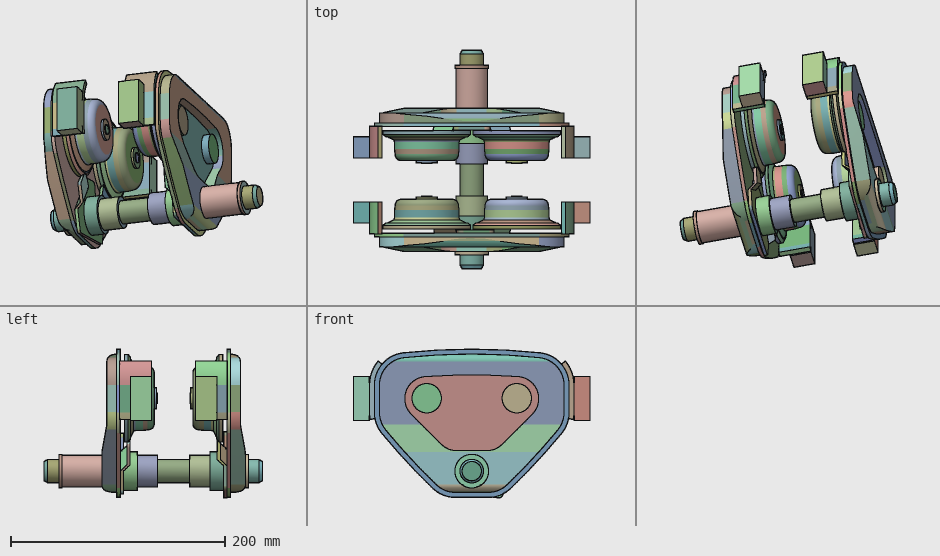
import cadquery as cq
import math


PLATE_INNER_Y = 49.75
PLATE_OUTER_Y = 53.2
PLATE_HALF_WIDTH = 90.8
PLATE_TOP = 113.85
PLATE_BOTTOM = -24.6
SLANT_TOP_Z = 43.7
SLANT_BOTTOM_X = 27.3
SLANT_LEAN = 45.0
BOW_RADIUS = 600.0
PLATE_CORNER_RADIUS = 30.4
RIM_WIDTH = 4.7

BODY_UPPER_Y = 62.4
BODY_LOWER_Y = 67.0
SLOPE_TOP_Z = 43.2
SLOPE_BOTTOM_Z = 17.8
TOP_ROUND_Z = 102.2
BOTTOM_ROUND_Z = -12.6
BODY_ROUND_RADIUS = 6.5
BODY_ROUND_SWEEP = 78.0

POCKET_HALF_WIDTH = 62.4
POCKET_TOP = 89.75
POCKET_BOTTOM = 19.1
POCKET_SLANT_TOP_Z = 59.0
POCKET_SLANT_BOTTOM_X = 22.5
POCKET_CORNER_RADIUS = 20.4
AXLE_X = 42.0
AXLE_Z = 68.0
AXLE_RADIUS = 13.7
AXLE_END_Y = 60.2

FLANGE_RADIUS = 41.0
FLANGE_BACK_Y = 45.9
FLANGE_FRONT_Y = 42.4
CONE_BREAK_RADIUS = 38.0
CONE_STEP_RADIUS = 36.6
CONE_BREAK_Y = 40.0
CONE_FOOT_RADIUS = 30.8
CONE_FOOT_Y = 37.2
TREAD_RADIUS = 30.2
TREAD_START_Y = 35.2
TREAD_TAPER_Y = 28.5
TREAD_END_RADIUS = 29.6
TREAD_END_Y = 23.9
WHEEL_FACE_Y = 17.9
WHEEL_HUB_RADIUS = 9.9
WHEEL_HUB_Y = 15.9
WHEEL_AXLE_TIP_RADIUS = 4.8
WHEEL_AXLE_TIP_Y = 15.1

STRAP_INNER_Y = 20.4
STRAP_PLATE_OVERLAP = 0.5
STRAP_TOP_ANGLE = 40.0
STRAP_BOTTOM_ANGLE = 10.6
BLOCK_OUTER_X = 110.5
BLOCK_LENGTH_Y = 20.0
BLOCK_BOTTOM = 47.1
BLOCK_TOP = 88.4

PIN_RADIUS = 11.0
PIN_NEAR_Y = -83.0
PIN_FAR_Y = 121.0
PIN_CHAMFER_LENGTH = 3.5
PIN_CHAMFER_DEPTH = 2.0
SLEEVE_RADIUS = 14.9
SLEEVE_INNER_Y = 15.0
COLLAR_RADIUS = 18.1
COLLAR_INNER_Y = 33.75
WASHER_RADIUS = 15.7
WASHER_THICKNESS = 3.0
FAR_WASHER_Y = 104.0

SHEET = 3.1
WING_STEP = 6.15
WING_RUN = 5.2
BEND_LOW = (35.4, 0.0)
BEND_HIGH = (16.8, 18.6)
WING_TIP = (40.9, 23.5)
WING_INNER_TIP = (26.0, 38.0)
TOWER_TOP = 35.5
TOWER_CORNER_RADIUS = 4.5
BRACKET_FOOT_HALF_WIDTH = 31.0
BRACKET_BOTTOM = -21.4
BRACKET_CORNER_RADIUS = 3.6
NEAR_BRACKET_TILT = 7.8


def xz_plane(y):
    """Sketch plane at y with local axes X and Z; a negative extrusion depth runs toward +Y."""
    return cq.Workplane("XZ", origin=(0, y, 0))


def prism(sketch_wire, y_start, y_end):
    """Extrude a sketch lying on xz_plane(y_start) to y_end."""
    return sketch_wire.extrude(y_start - y_end)


def cylinder(x, z, radius, y_start, y_end):
    return prism(xz_plane(y_start).center(x, z).circle(radius), y_start, y_end)


def bow_center(start, end):
    """Center of the arc of BOW_RADIUS that bulges to the right of the direction start to end."""
    dx = end[0] - start[0]
    dz = end[1] - start[1]
    chord = math.hypot(dx, dz)
    depth = math.sqrt(BOW_RADIUS**2 - (chord / 2) ** 2)
    return (
        (start[0] + end[0]) / 2 - depth * dz / chord,
        (start[1] + end[1]) / 2 + depth * dx / chord,
    )


def bowed_midpoint(start, end):
    """Middle of the arc of BOW_RADIUS from start to end."""
    center = bow_center(start, end)
    mid_x = (start[0] + end[0]) / 2
    mid_z = (start[1] + end[1]) / 2
    reach = BOW_RADIUS / math.hypot(mid_x - center[0], mid_z - center[1])
    return (center[0] + reach * (mid_x - center[0]), center[1] + reach * (mid_z - center[1]))


def bow_drop(half_width):
    """Fall of the bowed top edge from its middle to half_width."""
    return BOW_RADIUS - math.sqrt(BOW_RADIUS**2 - half_width**2)


def trapezoid_prism(half_width, top, bottom, slant_z, slant_x, radius, slant_bowed, y_start, y_end):
    """Trapezoid with a bowed top, straight sides and two slanted lower sides, all corners rounded alike."""
    shoulder_z = top - bow_drop(half_width)
    left_slant = ((-half_width, slant_z), (-slant_x, bottom))
    right_slant = ((slant_x, bottom), (half_width, slant_z))
    outline = xz_plane(y_start).moveTo(half_width, shoulder_z)
    outline = outline.threePointArc((0, top), (-half_width, shoulder_z)).lineTo(*left_slant[0])
    if slant_bowed:
        outline = outline.threePointArc(bowed_midpoint(*left_slant), left_slant[1])
        outline = outline.lineTo(*right_slant[0])
        outline = outline.threePointArc(bowed_midpoint(*right_slant), right_slant[1])
    else:
        outline = outline.lineTo(*left_slant[1]).lineTo(*right_slant[0]).lineTo(*right_slant[1])
    return prism(outline.close(), y_start, y_end).edges("|Y").fillet(radius)


def plate_prism(inset, y_start, y_end):
    """Side plate outline moved inward by inset."""
    corner_shift = inset * math.tan(math.radians(SLANT_LEAN / 2))
    return trapezoid_prism(
        PLATE_HALF_WIDTH - inset,
        PLATE_TOP - inset,
        PLATE_BOTTOM + inset,
        SLANT_TOP_Z + corner_shift,
        SLANT_BOTTOM_X - corner_shift,
        PLATE_CORNER_RADIUS - inset,
        True,
        y_start,
        y_end,
    )


def cover_profile():
    """Long bar along X with the stepped and rounded side profile of the cover."""
    r = BODY_ROUND_RADIUS
    end = math.radians(BODY_ROUND_SWEEP)
    half = end / 2

    def round_point(face_y, z, side, angle):
        return (face_y - r * (1 - math.cos(angle)), z + side * r * math.sin(angle))

    def tangent_end(face_y, z, side):
        """Point at the plate's inner face on the line that continues the round."""
        y, z_end = round_point(face_y, z, side, end)
        return (PLATE_INNER_Y, z_end + side * (y - PLATE_INNER_Y) / math.tan(end))

    return (
        cq.Workplane("YZ", origin=(-PLATE_HALF_WIDTH, 0, 0))
        .moveTo(*tangent_end(BODY_LOWER_Y, BOTTOM_ROUND_Z, -1))
        .lineTo(*round_point(BODY_LOWER_Y, BOTTOM_ROUND_Z, -1, end))
        .threePointArc(
            round_point(BODY_LOWER_Y, BOTTOM_ROUND_Z, -1, half),
            (BODY_LOWER_Y, BOTTOM_ROUND_Z),
        )
        .lineTo(BODY_LOWER_Y, SLOPE_BOTTOM_Z)
        .lineTo(BODY_UPPER_Y, SLOPE_TOP_Z)
        .lineTo(BODY_UPPER_Y, TOP_ROUND_Z)
        .threePointArc(
            round_point(BODY_UPPER_Y, TOP_ROUND_Z, 1, half),
            round_point(BODY_UPPER_Y, TOP_ROUND_Z, 1, end),
        )
        .lineTo(*tangent_end(BODY_UPPER_Y, TOP_ROUND_Z, 1))
        .close()
        .extrude(2 * PLATE_HALF_WIDTH)
    )


def side_plate():
    """Plate with its cover, the cover's pocket and the two axle ends in the pocket."""
    plate = plate_prism(0, PLATE_INNER_Y, PLATE_OUTER_Y)
    cover = plate_prism(RIM_WIDTH, PLATE_INNER_Y, BODY_LOWER_Y).intersect(cover_profile())
    pocket = trapezoid_prism(
        POCKET_HALF_WIDTH,
        POCKET_TOP,
        POCKET_BOTTOM,
        POCKET_SLANT_TOP_Z,
        POCKET_SLANT_BOTTOM_X,
        POCKET_CORNER_RADIUS,
        False,
        PLATE_OUTER_Y,
        BODY_LOWER_Y,
    )
    body = plate.union(cover).cut(pocket)
    for x in (-AXLE_X, AXLE_X):
        body = body.union(cylinder(x, AXLE_Z, AXLE_RADIUS, PLATE_INNER_Y, AXLE_END_Y))
    return body


def wheel(x):
    """Flanged wheel revolved about its own axle."""
    edge_radius = TREAD_END_Y - WHEEL_FACE_Y
    face_radius = TREAD_END_RADIUS - edge_radius
    edge_mid = edge_radius * math.sqrt(0.5)
    profile = (
        cq.Workplane("XY")
        .moveTo(0, FLANGE_BACK_Y)
        .lineTo(FLANGE_RADIUS, FLANGE_BACK_Y)
        .lineTo(FLANGE_RADIUS, FLANGE_FRONT_Y)
        .lineTo(CONE_BREAK_RADIUS, CONE_BREAK_Y)
        .lineTo(CONE_STEP_RADIUS, CONE_BREAK_Y)
        .lineTo(CONE_FOOT_RADIUS, CONE_FOOT_Y)
        .lineTo(TREAD_RADIUS, TREAD_START_Y)
        .lineTo(TREAD_RADIUS, TREAD_TAPER_Y)
        .lineTo(TREAD_END_RADIUS, TREAD_END_Y)
        .threePointArc(
            (face_radius + edge_mid, TREAD_END_Y - edge_mid),
            (face_radius, WHEEL_FACE_Y),
        )
        .lineTo(WHEEL_HUB_RADIUS, WHEEL_FACE_Y)
        .lineTo(WHEEL_HUB_RADIUS, WHEEL_HUB_Y)
        .lineTo(WHEEL_AXLE_TIP_RADIUS, WHEEL_HUB_Y)
        .lineTo(WHEEL_AXLE_TIP_RADIUS, WHEEL_AXLE_TIP_Y)
        .lineTo(0, WHEEL_AXLE_TIP_Y)
        .close()
    )
    return profile.revolve(360, (0, 0, 0), (0, 1, 0)).translate((x, 0, AXLE_Z))


def strap_with_block():
    """Bent strap hugging the right edge of the plate, with its bumper block."""
    inner = PLATE_CORNER_RADIUS
    outer = inner + RIM_WIDTH
    center_x = PLATE_HALF_WIDTH - inner
    center_gap = BOW_RADIUS - inner
    upper_z = PLATE_TOP - BOW_RADIUS + math.sqrt(center_gap**2 - center_x**2)
    bow_x, bow_z = bow_center((SLANT_BOTTOM_X, PLATE_BOTTOM), (PLATE_HALF_WIDTH, SLANT_TOP_Z))
    lower_z = bow_z - math.sqrt(center_gap**2 - (center_x - bow_x) ** 2)

    def polar(z, radius, degrees):
        angle = math.radians(degrees)
        return (center_x + radius * math.cos(angle), z + radius * math.sin(angle))

    start_y = STRAP_INNER_Y
    strap_sketch = (
        xz_plane(start_y)
        .moveTo(*polar(upper_z, outer, STRAP_TOP_ANGLE))
        .threePointArc(polar(upper_z, outer, STRAP_TOP_ANGLE / 2), polar(upper_z, outer, 0))
        .lineTo(*polar(lower_z, outer, 0))
        .threePointArc(
            polar(lower_z, outer, -STRAP_BOTTOM_ANGLE / 2),
            polar(lower_z, outer, -STRAP_BOTTOM_ANGLE),
        )
        .lineTo(*polar(lower_z, inner, -STRAP_BOTTOM_ANGLE))
        .threePointArc(polar(lower_z, inner, -STRAP_BOTTOM_ANGLE / 2), polar(lower_z, inner, 0))
        .lineTo(*polar(upper_z, inner, 0))
        .threePointArc(
            polar(upper_z, inner, STRAP_TOP_ANGLE / 2),
            polar(upper_z, inner, STRAP_TOP_ANGLE),
        )
        .close()
    )
    strap = prism(strap_sketch, start_y, PLATE_INNER_Y + STRAP_PLATE_OVERLAP)
    block = cq.Workplane("XY").box(
        BLOCK_OUTER_X - PLATE_HALF_WIDTH - RIM_WIDTH,
        BLOCK_LENGTH_Y,
        BLOCK_TOP - BLOCK_BOTTOM,
        centered=False,
    )
    block = block.translate((PLATE_HALF_WIDTH + RIM_WIDTH, STRAP_INNER_Y, BLOCK_BOTTOM))
    return strap.union(block)


def bracket_wing():
    """Right wing of the bracket: sheet stepped away from the plate, pointing up and outward."""
    reach = math.dist(BEND_LOW, WING_INNER_TIP)
    wing_y = PLATE_INNER_Y - WING_STEP
    section_plane = cq.Plane(
        origin=(BEND_LOW[0], 0, BEND_LOW[1]),
        xDir=(BEND_LOW[0] - BEND_HIGH[0], 0, BEND_HIGH[1] - BEND_LOW[1]),
        normal=(BEND_HIGH[0] - BEND_LOW[0], 0, BEND_HIGH[1] - BEND_LOW[1]),
    )
    sheet = (
        cq.Workplane(section_plane)
        .moveTo(0, PLATE_INNER_Y)
        .lineTo(WING_RUN, wing_y)
        .lineTo(reach, wing_y)
        .lineTo(reach, wing_y - SHEET)
        .lineTo(WING_RUN, wing_y - SHEET)
        .lineTo(0, PLATE_INNER_Y - SHEET)
        .close()
        .extrude(reach, both=True)
    )
    outline = xz_plane(wing_y - SHEET).polyline([BEND_LOW, WING_TIP, WING_INNER_TIP, BEND_HIGH])
    blank = prism(outline.close(), wing_y - SHEET, PLATE_INNER_Y)
    blank = blank.edges("|Y and >X").fillet(BRACKET_CORNER_RADIUS)
    return sheet.intersect(blank)


def bracket():
    """Sheet bracket: flat base with a tower on top and two stepped wings."""
    y_start = PLATE_INNER_Y - SHEET
    base_sketch = xz_plane(y_start).polyline(
        [
            (-BRACKET_FOOT_HALF_WIDTH, BRACKET_BOTTOM),
            (BRACKET_FOOT_HALF_WIDTH, BRACKET_BOTTOM),
            BEND_LOW,
            BEND_HIGH,
            (-BEND_HIGH[0], BEND_HIGH[1]),
            (-BEND_LOW[0], BEND_LOW[1]),
        ]
    ).close()
    base = prism(base_sketch, y_start, PLATE_INNER_Y)
    base = base.edges("|Y and <Z").fillet(BRACKET_CORNER_RADIUS)
    tower_sketch = xz_plane(y_start).center(0, TOWER_TOP / 2).rect(2 * BEND_HIGH[0], TOWER_TOP)
    tower = prism(tower_sketch, y_start, PLATE_INNER_Y)
    tower = tower.edges("|Y and >Z").fillet(TOWER_CORNER_RADIUS)
    wing = bracket_wing()
    return base.union(tower).union(wing).union(wing.mirror("YZ"))


def side_assembly(bracket_tilt):
    """Complete side on +Y: plate, wheels, straps, bracket, collar and sleeve."""
    side = side_plate()
    side = side.union(bracket().rotate((0, 0, 0), (0, 1, 0), bracket_tilt))
    strap = strap_with_block()
    side = side.union(strap).union(strap.mirror("YZ"))
    for x in (-AXLE_X, AXLE_X):
        side = side.union(wheel(x))
    side = side.union(cylinder(0, 0, COLLAR_RADIUS, COLLAR_INNER_Y, PLATE_INNER_Y))
    return side.union(cylinder(0, 0, SLEEVE_RADIUS, SLEEVE_INNER_Y, BODY_LOWER_Y))


def cross_pin():
    """Pin with tapered ends, the long far sleeve and the two outer washers."""
    tip_radius = PIN_RADIUS - PIN_CHAMFER_DEPTH
    profile = cq.Workplane("XY").polyline(
        [
            (0, PIN_NEAR_Y),
            (tip_radius, PIN_NEAR_Y),
            (PIN_RADIUS, PIN_NEAR_Y + PIN_CHAMFER_LENGTH),
            (PIN_RADIUS, PIN_FAR_Y - PIN_CHAMFER_LENGTH),
            (tip_radius, PIN_FAR_Y),
            (0, PIN_FAR_Y),
        ]
    ).close()
    pin = profile.revolve(360, (0, 0, 0), (0, 1, 0))
    near_washer = cylinder(0, 0, WASHER_RADIUS, -BODY_LOWER_Y - WASHER_THICKNESS, -BODY_LOWER_Y)
    far_sleeve = cylinder(0, 0, SLEEVE_RADIUS, BODY_LOWER_Y, FAR_WASHER_Y)
    far_washer = cylinder(0, 0, WASHER_RADIUS, FAR_WASHER_Y, FAR_WASHER_Y + WASHER_THICKNESS)
    return pin.union(near_washer).union(far_sleeve).union(far_washer)


far_side = side_assembly(0)
near_side = side_assembly(NEAR_BRACKET_TILT).mirror("XZ")
result = far_side.union(near_side).union(cross_pin())